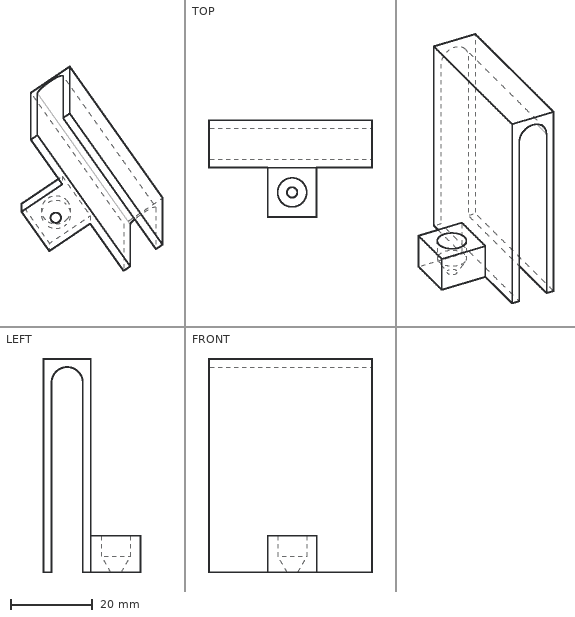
import cadquery as cq

clip_width = 40.0
clip_height = 52.23
wall = 2.0
slot_width = 7.6
slot_radius = slot_width / 2
clip_depth = slot_width + 2 * wall

total_depth = 23.75
block_width = 12.0
block_depth = total_depth - clip_depth
block_height = 9.0
block_center_x = 0.4

bore_diameter = 7.12
exit_diameter = 2.5
bore_depth = 5.0
bore_center_y = -block_depth / 2


def make_clip():
    """Solid slab with a round-topped slot cut along its full width."""
    slab = cq.Workplane("XY").box(clip_width, clip_depth, clip_height, centered=(True, False, False))
    arch_start = clip_height - wall - slot_radius
    slot = (
        cq.Workplane("YZ", origin=(-clip_width / 2, 0, 0))
        .moveTo(wall, 0)
        .lineTo(wall, arch_start)
        .threePointArc((wall + slot_radius, arch_start + slot_radius), (wall + slot_width, arch_start))
        .lineTo(wall + slot_width, 0)
        .close()
        .extrude(clip_width)
    )
    return slab.cut(slot)


def make_block():
    """Block in front of the clip, its back face on the clip's front face."""
    return (
        cq.Workplane("XY", origin=(block_center_x, -block_depth, 0))
        .box(block_width, block_depth, block_height, centered=(True, False, False))
    )


def make_stepped_hole():
    """Cutter for the hole: a cylinder from the block top, tapering to the exit in the block bottom."""
    bore_radius = bore_diameter / 2
    exit_radius = exit_diameter / 2
    cone_top = block_height - bore_depth
    half_profile = (
        cq.Workplane("XZ", origin=(block_center_x, bore_center_y, 0))
        .lineTo(exit_radius, 0)
        .lineTo(bore_radius, cone_top)
        .lineTo(bore_radius, block_height)
        .lineTo(0, block_height)
        .close()
    )
    return half_profile.revolve(360, (0, 0, 0), (0, 1, 0))


result = make_clip().union(make_block()).cut(make_stepped_hole())